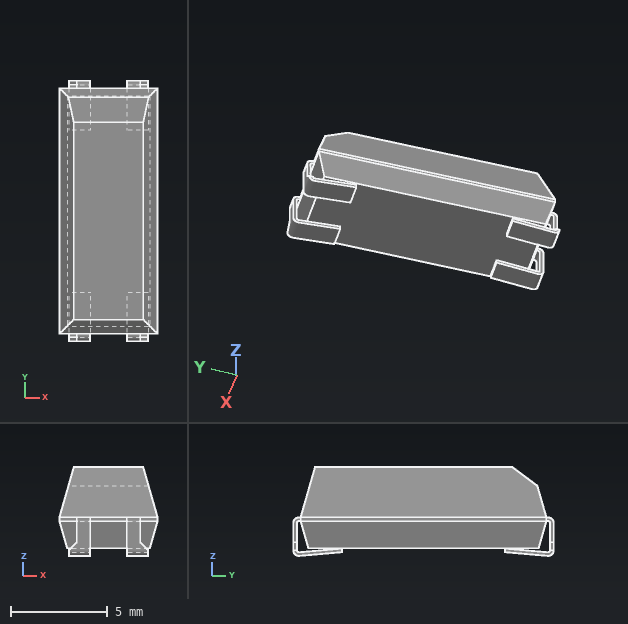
import cadquery as cq
import math

housing_width = 5.08
housing_length = 12.7
overall_length = 13.46
overall_height = 4.6
housing_bottom_z = 0.4
band_bottom_z = 1.8
band_top_z = 2.0
sheet = band_top_z - band_bottom_z
side_draft = 16.0

bevel_top_y = 4.58
bevel_drop = 0.97
bevel_low_y = 5.88

bend_inner_radius = 0.1
bend_outer_radius = bend_inner_radius + sheet
foot_angle = math.radians(5.0)
foot_tip_y = 4.2
lead_inner_x = 0.95
shank_width = 0.68
foot_width = 1.1
flare_height = foot_width - shank_width
flare_bottom_z = bend_outer_radius

housing_end_y = housing_length / 2
lead_outer_y = overall_length / 2


def make_upper_housing():
    height = overall_height - band_top_z
    block = (
        cq.Workplane("XY", origin=(0, 0, band_top_z))
        .rect(housing_width, housing_length)
        .extrude(height, taper=side_draft)
    )
    slope = bevel_drop / (bevel_low_y - bevel_top_y)
    wedge_bottom_z = overall_height - slope * (housing_end_y - bevel_top_y)
    wedge = (
        cq.Workplane("YZ")
        .moveTo(bevel_top_y, overall_height)
        .lineTo(housing_end_y, wedge_bottom_z)
        .lineTo(housing_end_y, overall_height)
        .close()
        .extrude(housing_width / 2, both=True)
    )
    return block.cut(wedge)


def make_band():
    return (
        cq.Workplane("XY", origin=(0, 0, band_bottom_z))
        .rect(housing_width, housing_length)
        .extrude(sheet)
    )


def make_lower_housing():
    return (
        cq.Workplane("XY", origin=(0, 0, band_bottom_z))
        .rect(housing_width, housing_length)
        .extrude(housing_bottom_z - band_bottom_z, taper=side_draft)
    )


def make_lead():
    """Lead at +X, +Y: stub from the band, shank going down, foot folded back under the housing."""
    bend_y = lead_outer_y - bend_outer_radius
    top_bend_z = band_top_z - bend_outer_radius
    foot_bend_z = bend_outer_radius

    def top_bend_middle(radius):
        reach = radius * math.sqrt(0.5)
        return (bend_y + reach, top_bend_z + reach)

    def foot_bend_point(radius, angle):
        return (bend_y + radius * math.cos(angle), foot_bend_z - radius * math.sin(angle))

    foot_turn = math.pi / 2 + foot_angle

    def foot_tip(radius):
        start_y, start_z = foot_bend_point(radius, foot_turn)
        return (foot_tip_y, start_z + (start_y - foot_tip_y) * math.tan(foot_angle))

    outer = bend_outer_radius
    inner = bend_inner_radius
    strip = (
        cq.Workplane("YZ", origin=(lead_inner_x, 0, 0))
        .moveTo(housing_end_y, band_top_z)
        .lineTo(bend_y, band_top_z)
        .threePointArc(top_bend_middle(outer), (bend_y + outer, top_bend_z))
        .lineTo(bend_y + outer, foot_bend_z)
        .threePointArc(foot_bend_point(outer, foot_turn / 2), foot_bend_point(outer, foot_turn))
        .lineTo(*foot_tip(outer))
        .lineTo(*foot_tip(inner))
        .lineTo(*foot_bend_point(inner, foot_turn))
        .threePointArc(foot_bend_point(inner, foot_turn / 2), (bend_y + inner, foot_bend_z))
        .lineTo(bend_y + inner, top_bend_z)
        .threePointArc(top_bend_middle(inner), (bend_y, band_bottom_z))
        .lineTo(housing_end_y, band_bottom_z)
        .close()
        .extrude(foot_width)
    )

    shank_x = lead_inner_x + shank_width
    foot_x = lead_inner_x + foot_width
    side_relief = (
        cq.Workplane("XZ", origin=(0, bend_y - bend_outer_radius, 0))
        .moveTo(foot_x, flare_bottom_z)
        .lineTo(shank_x, flare_bottom_z + flare_height)
        .lineTo(shank_x, band_top_z)
        .lineTo(foot_x, band_top_z)
        .close()
        .extrude(-2 * bend_outer_radius)
    )
    return strip.cut(side_relief)


upper_housing = make_upper_housing()
band = make_band()
lower_housing = make_lower_housing()

right_back = make_lead()
leads = []
for lead in (right_back, right_back.mirror("YZ")):
    leads.append(lead)
    leads.append(lead.mirror("XZ"))

result = cq.Compound.makeCompound(
    [
        upper_housing.val(),
        band.val(),
        lower_housing.val(),
        *[lead.val() for lead in leads],
    ]
)